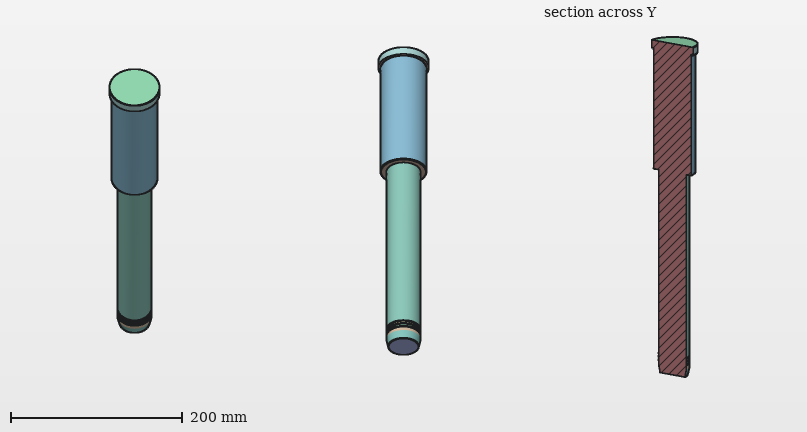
import cadquery as cq

total_length = 401.0
head_diameter = 59.0
head_height = 10.0
head_chamfer = 0.6
sleeve_diameter = 54.0
sleeve_length = 146.0
sleeve_chamfer = 1.0
pin_diameter = 40.0

tip_diameter = 35.5
tip_length = 10.0
tip_chamfer = 0.6

groove_count = 3
groove_width = 1.0
groove_depth = 0.5
groove_pitch = 4.0
cutter_clearance = 2.0
groove_band_top = 24.0

head_bottom = total_length - head_height
sleeve_bottom = head_bottom - sleeve_length
top_groove_bottom = groove_band_top - groove_width


def cylinder(diameter, bottom, height):
    return cq.Workplane("XY").workplane(offset=bottom).circle(diameter / 2).extrude(height)


def ring_groove(bottom):
    outer = cylinder(pin_diameter + 2 * cutter_clearance, bottom, groove_width)
    core = cylinder(pin_diameter - 2 * groove_depth, bottom, groove_width)
    return outer.cut(core)


head = cylinder(head_diameter, head_bottom, head_height).faces(">Z").chamfer(head_chamfer)
sleeve = cylinder(sleeve_diameter, sleeve_bottom, sleeve_length).edges().chamfer(sleeve_chamfer)
pin = cylinder(pin_diameter, tip_length, sleeve_bottom - tip_length)

tip = (
    cq.Workplane("XY")
    .circle(tip_diameter / 2)
    .workplane(offset=tip_length)
    .circle(pin_diameter / 2)
    .loft()
    .faces("<Z")
    .chamfer(tip_chamfer)
)

result = head.union(sleeve).union(pin).union(tip)

for index in range(groove_count):
    result = result.cut(ring_groove(top_groove_bottom - index * groove_pitch))